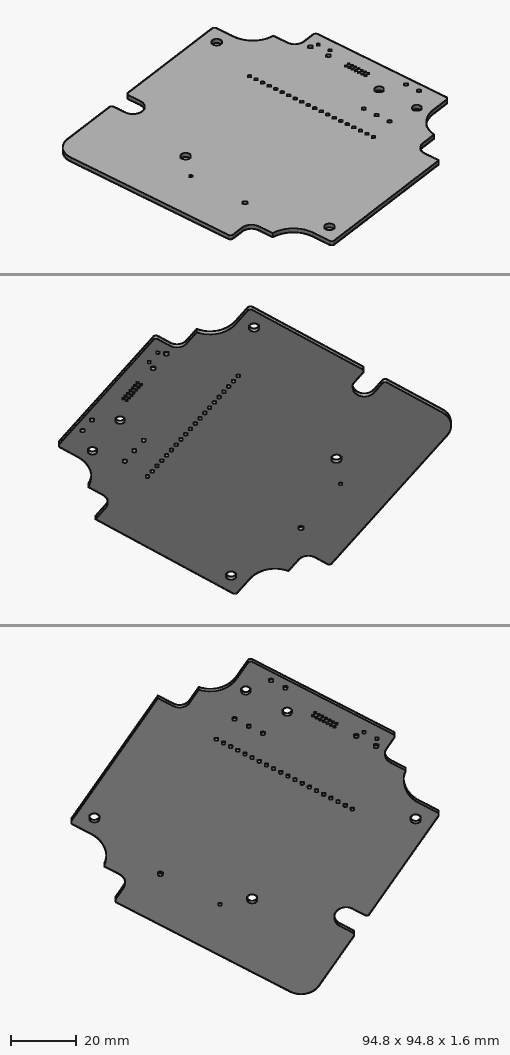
import cadquery as cq
import math

size = 94.8
thickness = 1.6
half = size / 2

inner_step = 21.5
middle_step = 38.3
shoulder = 30.4
scallop_radius = 9.4
ledge_radius = 3.6
corner_radius = 0.95
large_corner_radius = 6.4

slot_y = -15.9
slot_width = 7.2
slot_end_x = -38.3

scallop_centre = shoulder + scallop_radius
scallop_rise = scallop_centre - middle_step
scallop_end = scallop_centre - math.sqrt(scallop_radius**2 - scallop_rise**2)

mounting_diameter = 3.2
mounting_centres = [(-42.0, 25.0), (-14.0, -25.0), (42.0, -25.0)]
fixing_diameter = 2.9
fixing_centres = [(11.2, 37.6), (25.9, 37.6)]
corner_pin_diameter = 1.0
corner_pin_centres = [(-17.2, 43.4), (-12.6, 43.4)]
corner_peg_diameter = 1.5
corner_peg_centres = [(-18.3, 41.05), (-11.3, 41.05)]
wide_locator_diameter = 1.6
wide_locator_centre = (14.5, -31.8)
narrow_locator_diameter = 1.0
narrow_locator_centre = (-6.6, -31.8)

terminal_diameter = 1.3
terminal_pair_centre = (18.6, 44.65)
terminal_pair_pitch = 5.0
terminal_trio_centre = (18.6, 27.2)
terminal_trio_pitch = 5.0
connector_columns = 7
connector_span = 7.6
connector_pitch = connector_span / (connector_columns - 1)
header_diameter = 1.1
header_centre = (0.5, 18.1)
header_count = 20
header_span = 48.3
header_pitch = header_span / (header_count - 1)
connector_diameter = 0.71
connector_centre = (-0.1, 41.05)
connector_rows = 2


def pin_grid(centre, pitch, columns, rows=1):
    """Centres of an evenly spaced grid of pins."""
    return [
        (
            centre[0] + (column - (columns - 1) / 2) * pitch,
            centre[1] + (row - (rows - 1) / 2) * pitch,
        )
        for column in range(columns)
        for row in range(rows)
    ]


def rounded(body, points, radius):
    """Round the upright edges that pass through the given points."""
    for x, y in points:
        edge = cq.selectors.NearestToPointSelector((x, y, thickness / 2))
        body = body.edges("|Z").edges(edge).fillet(radius)
    return body


def make_board():
    """Square board with three stepped, scalloped corners and one round corner."""
    board = (
        cq.Workplane("XY")
        .moveTo(-half, -half)
        .lineTo(inner_step, -half)
        .lineTo(inner_step, -middle_step)
        .lineTo(scallop_end, -middle_step)
        .radiusArc((scallop_centre, -shoulder), scallop_radius)
        .lineTo(half, -shoulder)
        .lineTo(half, inner_step)
        .lineTo(middle_step, inner_step)
        .lineTo(middle_step, scallop_end)
        .radiusArc((shoulder, scallop_centre), scallop_radius)
        .lineTo(shoulder, half)
        .lineTo(-inner_step, half)
        .lineTo(-inner_step, middle_step)
        .lineTo(-scallop_end, middle_step)
        .radiusArc((-scallop_centre, shoulder), scallop_radius)
        .lineTo(-half, shoulder)
        .close()
        .extrude(thickness)
    )
    ledge_corners = [
        (inner_step, -middle_step),
        (middle_step, inner_step),
        (-inner_step, middle_step),
    ]
    outer_corners = [
        (inner_step, -half),
        (half, -shoulder),
        (shoulder, half),
        (-inner_step, half),
        (-half, shoulder),
    ]
    board = rounded(board, ledge_corners, ledge_radius)
    board = rounded(board, outer_corners, corner_radius)
    return rounded(board, [(-half, -half)], large_corner_radius)


def cut_slot(board):
    """Round-ended slot with rounded mouth corners."""
    slot_length = 2 * (slot_end_x + half)
    slot = (
        cq.Workplane("XY")
        .center(-half, slot_y)
        .slot2D(slot_length, slot_width)
        .extrude(thickness)
    )
    mouth_corners = [(-half, slot_y + side * slot_width / 2) for side in (-1, 1)]
    return rounded(board.cut(slot), mouth_corners, corner_radius)


def drill(board, centres, diameter):
    """Round holes through the board."""
    pins = cq.Workplane("XY").pushPoints(centres).circle(diameter / 2).extrude(thickness)
    return board.cut(pins)


result = cut_slot(make_board())

hole_groups = [
    (mounting_centres, mounting_diameter),
    (fixing_centres, fixing_diameter),
    (corner_pin_centres, corner_pin_diameter),
    (corner_peg_centres, corner_peg_diameter),
    ([wide_locator_centre], wide_locator_diameter),
    ([narrow_locator_centre], narrow_locator_diameter),
    (pin_grid(terminal_pair_centre, terminal_pair_pitch, 2), terminal_diameter),
    (pin_grid(terminal_trio_centre, terminal_trio_pitch, 3), terminal_diameter),
    (pin_grid(header_centre, header_pitch, header_count), header_diameter),
    (
        pin_grid(connector_centre, connector_pitch, connector_columns, connector_rows),
        connector_diameter,
    ),
]
for centres, diameter in hole_groups:
    result = drill(result, centres, diameter)